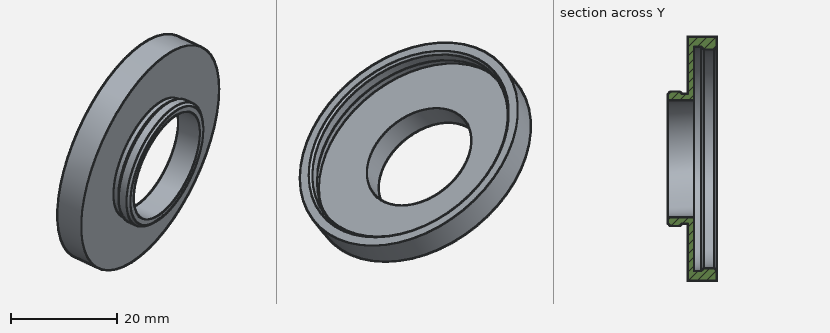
import cadquery as cq

total_length = 9.3
flange_length = 5.5

flange_diameter = 46.0
recess_diameter = 41.18
recess_mouth_diameter = 42.2
relief_diameter = 42.2
recess_depth = 4.3
relief_length = 1.85

neck_diameter = 24.57
rim_diameter = 25.4
neck_end = 6.6
rim_chamfer = 0.54

bore_diameter = 22.0

mouth_chamfer = (recess_mouth_diameter - recess_diameter) / 2
relief_slope = (relief_diameter - recess_diameter) / 2
neck_slope = (rim_diameter - neck_diameter) / 2


def revolve_profile(points):
    """Revolve a closed (X, radius) outline about the X axis."""
    return cq.Workplane("XY").polyline(points).close().revolve(360, (0, 0, 0), (1, 0, 0))


def adapter_body():
    """Solid flange and boss, before any material is removed."""
    flange_radius = flange_diameter / 2
    neck_radius = neck_diameter / 2
    rim_radius = rim_diameter / 2
    return revolve_profile([
        (0, 0),
        (0, flange_radius),
        (flange_length, flange_radius),
        (flange_length, neck_radius),
        (neck_end, neck_radius),
        (neck_end + neck_slope, rim_radius),
        (total_length - rim_chamfer, rim_radius),
        (total_length, rim_radius - rim_chamfer),
        (total_length, 0),
    ])


def recess_cutter():
    """Recess with a chamfered mouth and a wider, slope-sided relief groove at its floor."""
    recess_radius = recess_diameter / 2
    relief_radius = relief_diameter / 2
    relief_start = recess_depth - relief_length
    return revolve_profile([
        (0, 0),
        (0, recess_mouth_diameter / 2),
        (mouth_chamfer, recess_radius),
        (relief_start, recess_radius),
        (relief_start + relief_slope, relief_radius),
        (recess_depth, relief_radius),
        (recess_depth, 0),
    ])


def bore_cutter():
    """Through bore along the axis."""
    return cq.Workplane("YZ").circle(bore_diameter / 2).extrude(total_length)


result = adapter_body().cut(recess_cutter()).cut(bore_cutter())